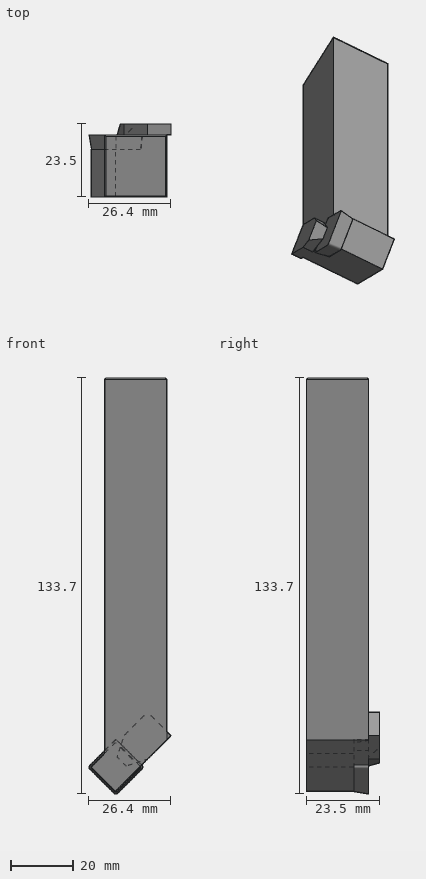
import cadquery as cq
import math

tool_tilt = math.radians(45)

shank_size = 20.0
shank_left = -3.65
shank_right = shank_left + shank_size
shank_top = 125.0
top_chamfer = 0.45

insert_size = 12.7
insert_thickness = 4.76
insert_clearance = 7.0
insert_nose_radius = 0.8

clamp_width = 10.7
clamp_height = 3.5
clamp_half = clamp_width / 2
clamp_corner_x = 17.72
clamp_rear = clamp_corner_x / math.cos(tool_tilt) - clamp_half
clamp_taper_start = 9.07
clamp_tip = 2.6
clamp_tip_angle = math.radians(27)
clamp_tip_half = clamp_half - (clamp_taper_start - clamp_tip) * math.tan(clamp_tip_angle)
clamp_tip_setback = 2.9

nose_end = -5.6
nose_upper_side = 5.65
nose_lower_side = -clamp_half


def tilted(along, across):
    """Turn a place along and across the tilted axis into X and Z."""
    x = along * math.cos(tool_tilt) - across * math.sin(tool_tilt)
    z = along * math.sin(tool_tilt) + across * math.cos(tool_tilt)
    return (x, z)


def height_on_side(across, x):
    """Z where the line parallel to the tilted axis, offset by across, reaches x."""
    return x * math.tan(tool_tilt) + across / math.cos(tool_tilt)


def tilted_square():
    return (
        cq.Workplane("XZ")
        .transformed(rotate=(0, 0, math.degrees(tool_tilt)))
        .rect(insert_size, insert_size)
    )


def make_insert():
    tapered_block = tilted_square().extrude(insert_thickness, taper=insert_clearance)
    return tapered_block.edges("not #Y").fillet(insert_nose_radius)


def make_pocket():
    return tilted_square().extrude(insert_thickness)


def make_shank():
    outline = [
        (shank_left, shank_top),
        (shank_left, height_on_side(nose_upper_side, shank_left)),
        tilted(nose_end, nose_upper_side),
        tilted(nose_end, nose_lower_side),
        (shank_right, height_on_side(nose_lower_side, shank_right)),
        (shank_right, shank_top),
    ]
    shank = cq.Workplane("XZ").polyline(outline).close().extrude(shank_size)
    return shank.faces(">Z").chamfer(top_chamfer)


def make_clamp():
    outline = [
        tilted(clamp_rear, clamp_half),
        tilted(clamp_taper_start, clamp_half),
        tilted(clamp_tip, clamp_tip_half),
        tilted(clamp_tip, -clamp_tip_half),
        tilted(clamp_taper_start, -clamp_half),
        tilted(clamp_rear, -clamp_half),
    ]
    block = cq.Workplane("XZ").polyline(outline).close().extrude(-clamp_height)
    slope = (
        cq.Workplane("XY")
        .polyline([
            (clamp_tip, 0),
            (clamp_tip, clamp_height),
            (clamp_tip + clamp_tip_setback, clamp_height),
        ])
        .close()
        .extrude(clamp_half, both=True)
        .rotate((0, 0, 0), (0, 1, 0), -math.degrees(tool_tilt))
    )
    return block.cut(slope)


insert = make_insert()
holder = make_shank().cut(make_pocket()).union(make_clamp())

result = cq.Compound.makeCompound([holder.val(), insert.val()])